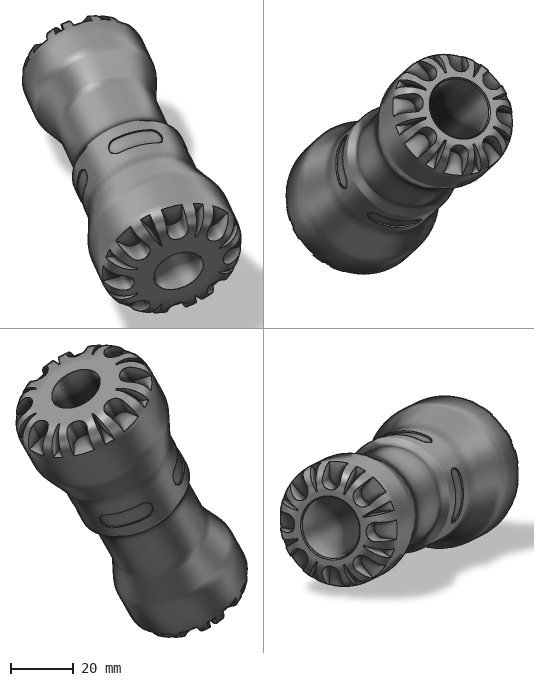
import cadquery as cq
import math

length = 100.0
neck_radius = 32.8 / 2
sleeve_radius = 37.6 / 2

small_head_radius = 41.0 / 2
small_round = 8.0
small_head_end = 17.3
small_bend_radius = 8.5
neck_start = 31.4

large_head_radius = 47.0 / 2
large_round = 8.5
large_head_start = 81.5
large_bend_radius = 9.6

flare_angle = 20.0
flare_sine = math.sin(math.radians(flare_angle))
flare_cosine = math.cos(math.radians(flare_angle))
flare_tangent = math.tan(math.radians(flare_angle))

shoulder_start = 48.4
shoulder_height = sleeve_radius - neck_radius
shoulder_blend = 0.4

cutter_clearance = 1.0

counterbore_diameter = 20.0
counterbore_chamfer = 0.4
through_diameter = 16.6
counterbore_depth = 50.0

flute_count = 8
flute_pitch = 360.0 / flute_count
groove_angle = 20.0
groove_root_width = 0.4
flute_root_overlap = 0.05
small_flute_width = 6.3
small_flute_depth = 6.4
large_flute_width = 6.9
large_flute_depth = 6.7

pocket_count = 4
pocket_x = 58.0
pocket_width = 6.1
pocket_length = 17.8
pocket_depth = 0.5


def make_body():
    """Revolve the outer profile; each flare blends tangentially at both ends."""
    small_run = small_bend_radius * flare_sine
    small_drop = small_bend_radius * (1 - flare_cosine)
    large_run = large_bend_radius * flare_sine
    large_drop = large_bend_radius * (1 - flare_cosine)

    small_cone_top = (small_head_end + small_run, small_head_radius - small_drop)
    neck_corner_x = (
        small_cone_top[0] + (small_cone_top[1] - neck_radius) / flare_tangent
    )
    neck_blend_leg = neck_start - neck_corner_x
    small_cone_foot = (
        neck_corner_x - neck_blend_leg * flare_cosine,
        neck_radius + neck_blend_leg * flare_sine,
    )

    large_cone_top = (large_head_start - large_run, large_head_radius - large_drop)
    large_cone_foot_r = sleeve_radius + large_drop
    large_cone_foot_x = (
        large_cone_top[0] - (large_cone_top[1] - large_cone_foot_r) / flare_tangent
    )
    sleeve_end = large_cone_foot_x - large_run

    profile = (
        cq.Workplane("XY")
        .lineTo(0, small_head_radius - small_round)
        .radiusArc((small_round, small_head_radius), small_round)
        .lineTo(small_head_end, small_head_radius)
        .tangentArcPoint(small_cone_top, relative=False)
        .lineTo(*small_cone_foot)
        .tangentArcPoint((neck_start, neck_radius), relative=False)
        .lineTo(shoulder_start, neck_radius)
        .lineTo(shoulder_start + shoulder_height, sleeve_radius)
        .lineTo(sleeve_end, sleeve_radius)
        .tangentArcPoint((large_cone_foot_x, large_cone_foot_r), relative=False)
        .lineTo(*large_cone_top)
        .tangentArcPoint((large_head_start, large_head_radius), relative=False)
        .lineTo(length - large_round, large_head_radius)
        .radiusArc((length, large_head_radius - large_round), large_round)
        .lineTo(length, 0)
        .close()
    )
    body = profile.revolve(360, (0, 0, 0), (1, 0, 0))
    box_margin = 1.0
    shoulder_box = cq.selectors.BoxSelector(
        (shoulder_start - box_margin, -large_head_radius, -large_head_radius),
        (shoulder_start + shoulder_height + box_margin, large_head_radius, large_head_radius),
    )
    return body.edges("%CIRCLE").edges(shoulder_box).fillet(shoulder_blend)


def cut_bore(body):
    """Through hole, with a wider chamfered counterbore from the small head."""
    through = cq.Workplane("YZ").circle(through_diameter / 2).extrude(length)
    mouth_radius = counterbore_diameter / 2
    counterbore = (
        cq.Workplane("XY")
        .lineTo(0, mouth_radius + counterbore_chamfer)
        .lineTo(counterbore_chamfer, mouth_radius)
        .lineTo(counterbore_depth, mouth_radius)
        .lineTo(counterbore_depth, 0)
        .close()
        .revolve(360, (0, 0, 0), (1, 0, 0))
    )
    return body.cut(through).cut(counterbore)


def cut_end_flutes(body, floor_x, depth, width, face_radius):
    """Cut round-bottomed flutes and, midway between them, tapered V-grooves."""
    reach = large_head_radius + cutter_clearance
    half_width = width / 2
    root_radius = face_radius - flute_root_overlap
    flute = (
        cq.Workplane("YZ", origin=(floor_x, 0, 0))
        .moveTo(-half_width, reach)
        .lineTo(-half_width, root_radius + half_width)
        .threePointArc((0, root_radius), (half_width, root_radius + half_width))
        .lineTo(half_width, reach)
        .close()
        .extrude(depth)
    )
    half_root = groove_root_width / 2
    spread = (reach - root_radius) * math.tan(math.radians(groove_angle / 2))
    groove = (
        cq.Workplane("YZ", origin=(floor_x, 0, 0))
        .moveTo(-half_root, root_radius)
        .lineTo(half_root, root_radius)
        .lineTo(half_root + spread, reach)
        .lineTo(-half_root - spread, reach)
        .close()
        .extrude(depth)
        .rotate((0, 0, 0), (1, 0, 0), flute_pitch / 2)
    )
    for index in range(flute_count):
        for cutter in (flute, groove):
            body = body.cut(cutter.rotate((0, 0, 0), (1, 0, 0), index * flute_pitch))
    return body


def cut_grip_pockets(body):
    """Cut stadium-shaped pockets that follow the curve of the sleeve."""
    outer = sleeve_radius + cutter_clearance
    half_width = pocket_width / 2
    end_angle = math.degrees(
        math.asin(pocket_length / 2 / sleeve_radius) - math.asin(half_width / sleeve_radius)
    )
    half_chord = outer * math.tan(math.radians(end_angle))
    pocket = (
        cq.Workplane("YZ", origin=(pocket_x - half_width, 0, 0))
        .polyline([(0, 0), (half_chord, outer), (-half_chord, outer)])
        .close()
        .extrude(pocket_width)
    )
    round_end = cq.Workplane("XY").center(pocket_x, 0).circle(half_width).extrude(outer)
    for angle in (-end_angle, end_angle):
        pocket = pocket.union(round_end.rotate((0, 0, 0), (1, 0, 0), angle))
    core = cq.Workplane("YZ").circle(sleeve_radius - pocket_depth).extrude(length)
    pocket = pocket.cut(core)
    for index in range(pocket_count):
        angle = index * 360.0 / pocket_count
        body = body.cut(pocket.rotate((0, 0, 0), (1, 0, 0), angle))
    return body


result = make_body()
result = cut_bore(result)
result = cut_end_flutes(
    result, 0, small_flute_depth, small_flute_width, small_head_radius - small_round
)
result = cut_end_flutes(
    result,
    length - large_flute_depth,
    large_flute_depth,
    large_flute_width,
    large_head_radius - large_round,
)
result = cut_grip_pockets(result)